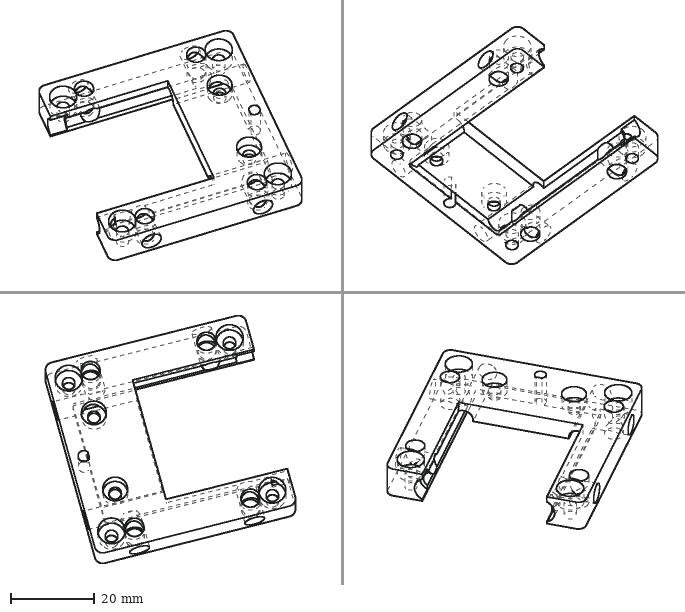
import cadquery as cq

SIDE = 49.8
HEIGHT = 8.0
CORNER_RADIUS = 2.0
OPENING_HALF_WIDTH = 15.6
OPENING_BACK_Y = 5.25

POCKET_BACK_Y = 20.3
POCKET_CORNER_RADIUS = 0.65
POCKET_HEIGHT = 3.1

BORE_Z = 3.55
ROD_BORE_X = 14.3
ROD_BORE_DIAMETER = 4.6
ROD_ENTRY_DIAMETER = 6.5
ROD_ENTRY_DEPTH = 4.3
CROSS_BORE_Y = 14.3
CROSS_BORE_DIAMETER = 4.9
PLAIN_HOLE_X = 20.5
PLAIN_HOLE_Y = 14.4
PLAIN_HOLE_DIAMETER = 4.6

SCREW_DIAMETER = 3.0
CORNER_SCREW_OFFSET = 19.95
CORNER_HEAD_DIAMETER = 6.5
CORNER_HEAD_FLOOR_Z = 4.05
BRIDGE_SCREW_X = 9.95
BRIDGE_SCREW_Y = 16.4
BRIDGE_HEAD_DIAMETER = 6.0
BRIDGE_HEAD_FLOOR_Z = 4.8
CENTER_HOLE_Y = 21.5
CENTER_HOLE_DIAMETER = 2.8

HALF_SIDE = SIDE / 2


def block(x_half, y_min, y_max, z_min, z_max):
    """Box centred on X, given by its limits along Y and Z."""
    size = (2 * x_half, y_max - y_min, z_max - z_min)
    return cq.Workplane("XY").box(*size, centered=(True, False, False)).translate((0, y_min, z_min))


def cylinder(start, direction, length, diameter):
    """Cylinder running from a start point along a direction."""
    return cq.Workplane(cq.Solid.makeCylinder(diameter / 2, length, cq.Vector(*start), cq.Vector(*direction)))


def vertical_hole(x, y, diameter, floor_z=0.0):
    """Hole cutter open at the top face and ending at floor_z."""
    return cylinder((x, y, floor_z), (0, 0, 1), HEIGHT - floor_z, diameter)


def counterbored_hole(x, y, head_diameter, floor_z):
    """Through screw hole with its head recess in the top face."""
    return vertical_hole(x, y, SCREW_DIAMETER).union(vertical_hole(x, y, head_diameter, floor_z))


frame = cq.Workplane("XY").box(SIDE, SIDE, HEIGHT, centered=(True, True, False))
frame = frame.edges("|Z").fillet(CORNER_RADIUS)
opening = block(OPENING_HALF_WIDTH, -HALF_SIDE, OPENING_BACK_Y, 0, HEIGHT)
pocket = block(OPENING_HALF_WIDTH, OPENING_BACK_Y, POCKET_BACK_Y, 0, POCKET_HEIGHT)
pocket = pocket.edges("|Z and >Y").fillet(POCKET_CORNER_RADIUS)
frame = frame.cut(opening).cut(pocket)

for y in (-CROSS_BORE_Y, CROSS_BORE_Y):
    frame = frame.cut(cylinder((-HALF_SIDE, y, BORE_Z), (1, 0, 0), SIDE, CROSS_BORE_DIAMETER))
frame = frame.cut(vertical_hole(0, CENTER_HOLE_Y, CENTER_HOLE_DIAMETER))
frame = frame.union(block(OPENING_HALF_WIDTH, OPENING_BACK_Y, POCKET_BACK_Y, POCKET_HEIGHT, HEIGHT))

for side in (-1, 1):
    rod_start = (side * ROD_BORE_X, -HALF_SIDE, BORE_Z)
    frame = frame.cut(cylinder(rod_start, (0, 1, 0), SIDE, ROD_BORE_DIAMETER))
    frame = frame.cut(cylinder(rod_start, (0, 1, 0), ROD_ENTRY_DEPTH, ROD_ENTRY_DIAMETER))

    frame = frame.cut(
        counterbored_hole(side * BRIDGE_SCREW_X, BRIDGE_SCREW_Y, BRIDGE_HEAD_DIAMETER, BRIDGE_HEAD_FLOOR_Z)
    )

    for end in (-1, 1):
        corner = (side * CORNER_SCREW_OFFSET, end * CORNER_SCREW_OFFSET)
        frame = frame.cut(counterbored_hole(*corner, CORNER_HEAD_DIAMETER, CORNER_HEAD_FLOOR_Z))
        frame = frame.cut(vertical_hole(side * PLAIN_HOLE_X, end * PLAIN_HOLE_Y, PLAIN_HOLE_DIAMETER))

result = cq.Workplane(frame.val())